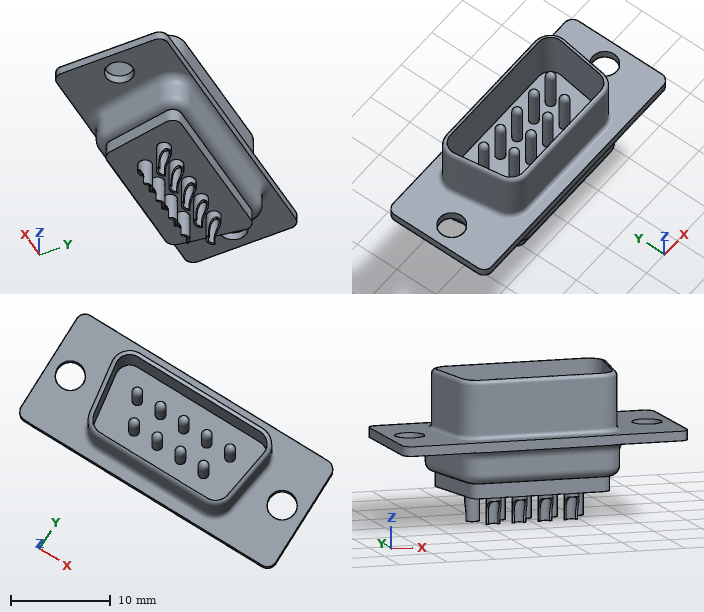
import cadquery as cq
import math

plate_length = 30.0
plate_width = 12.5
plate_thickness = 1.0
plate_corner_radius = 1.0
mount_hole_diameter = 3.0
mount_hole_offset = 12.48

shell_height = 6.0
shell_width = 9.5
shell_mid_half_length = 8.8
shell_slant = math.radians(8.5)
shell_wide_corner_radius = 1.98
shell_narrow_corner_radius = 2.1
shell_wall = 0.48
shell_edge_radius = 0.48

rear_height = 3.5
rear_width = 10.98
rear_mid_half_length = 9.03
rear_slant = math.radians(10)
rear_corner_radius = 2.0
rear_edge_radius = 1.0
rear_root_margin = rear_edge_radius

insulator_height = 1.53

contact_pitch = 2.73
row_offset = 1.4
contact_rows = ((5, row_offset, 1), (4, -row_offset, -1))
pin_radius = 0.55
pin_tip_height = 4.95

cup_length = 3.27
cup_radius = 0.75
cup_bore_radius = 0.55
cup_collar_length = 0.8
cup_lip_width = cup_radius - cup_bore_radius
cup_wall_cut_offset = 0.2
cup_scoop_radius = 2.58

plate_bottom = -plate_thickness
rear_bottom = plate_bottom - rear_height
insulator_bottom = rear_bottom - insulator_height
cup_bottom = insulator_bottom - cup_length


def d_prism(mid_half_length, width, slant, wide_radius, narrow_radius, bottom, height):
    """Prism with a rounded D outline whose wide side faces +Y."""
    half_width = width / 2
    slant_shift = half_width * math.tan(slant)
    wide_half = mid_half_length + slant_shift
    narrow_half = mid_half_length - slant_shift
    corners = [
        (-wide_half, half_width),
        (wide_half, half_width),
        (narrow_half, -half_width),
        (-narrow_half, -half_width),
    ]
    prism = cq.Workplane("XY", origin=(0, 0, bottom)).polyline(corners).close().extrude(height)
    prism = prism.faces(">Y").edges("|Z").fillet(wide_radius)
    return prism.faces("<Y").edges("|Z").fillet(narrow_radius)


def shell_prism(inset, bottom, height):
    """Front shell outline, moved inward by inset on all sides."""
    return d_prism(
        shell_mid_half_length - inset / math.cos(shell_slant),
        shell_width - 2 * inset,
        shell_slant,
        shell_wide_corner_radius - inset,
        shell_narrow_corner_radius - inset,
        bottom,
        height,
    )


def rear_prism(inset, bottom, height):
    """Rear shell outline, moved inward by inset on all sides."""
    corner_radius = rear_corner_radius - inset
    return d_prism(
        rear_mid_half_length - inset / math.cos(rear_slant),
        rear_width - 2 * inset,
        rear_slant,
        corner_radius,
        corner_radius,
        bottom,
        height,
    )


def fillet_matching(body, reference_edges, radius):
    """Fillet the edges of body that have the same centers as the reference edges."""
    tolerance = 0.003
    matches = []
    for edge in body.edges().vals():
        for reference in reference_edges:
            if (edge.Center() - reference.Center()).Length < tolerance:
                matches.append(edge)
    return body.newObject(matches).fillet(radius)


def make_flange_and_shells():
    """Plate with both shells and their blended roots, trimmed to the plate outline."""
    front_shell = shell_prism(0, 0, shell_height)
    rear_shell = rear_prism(0, rear_bottom, rear_height)

    body = (
        cq.Workplane("XY", origin=(0, 0, plate_bottom))
        .rect(plate_length, plate_width + 2 * rear_root_margin)
        .extrude(plate_thickness)
        .union(front_shell)
        .union(rear_shell)
    )

    front_root = front_shell.faces("<Z").edges().vals()
    rear_root = rear_shell.faces(">Z").edges().vals()
    body = fillet_matching(body, front_root, shell_edge_radius)
    body = fillet_matching(body, rear_root, rear_edge_radius)

    body = body.faces(">Z").edges().fillet(shell_edge_radius)
    body = body.faces("<Z").edges().fillet(rear_edge_radius)

    outline_height = shell_height - rear_bottom
    outline = (
        cq.Workplane("XY", origin=(0, 0, rear_bottom))
        .rect(plate_length, plate_width)
        .extrude(outline_height)
        .edges("|Z")
        .fillet(plate_corner_radius)
    )
    mount_holes = (
        cq.Workplane("XY", origin=(0, 0, plate_bottom))
        .pushPoints([(-mount_hole_offset, 0), (mount_hole_offset, 0)])
        .circle(mount_hole_diameter / 2)
        .extrude(plate_thickness)
    )
    cavity = shell_prism(shell_wall, 0, shell_height)
    return body.intersect(outline).cut(mount_holes).cut(cavity)


def make_contact(x, y, outward):
    """Round-tipped pin with a scooped solder cup that opens toward outward Y."""
    pin = (
        cq.Workplane("XY", origin=(x, y, rear_bottom))
        .circle(pin_radius)
        .extrude(pin_tip_height - pin_radius - rear_bottom)
    )
    tip = cq.Workplane("XY", origin=(x, y, pin_tip_height - pin_radius)).sphere(pin_radius)
    cup = (
        cq.Workplane("XY", origin=(x, y, cup_bottom))
        .circle(cup_radius)
        .circle(cup_bore_radius)
        .extrude(cup_length)
    )
    return pin.union(tip).union(cup.cut(make_scoop(x, y, outward)))


def make_scoop(x, y, outward):
    """Cutter that removes the outward half of a cup below its collar."""
    scoop_top = insulator_bottom - cup_collar_length
    wall_y = -cup_wall_cut_offset
    lip_y = cup_radius - cup_lip_width
    center_y = wall_y + cup_scoop_radius
    sweep = math.acos((center_y - lip_y) / cup_scoop_radius)
    center_z = scoop_top - cup_scoop_radius * math.sin(sweep)
    arc_middle = (
        center_y - cup_scoop_radius * math.cos(sweep / 2),
        center_z + cup_scoop_radius * math.sin(sweep / 2),
    )
    scoop = (
        cq.Workplane("YZ")
        .moveTo(cup_radius, cup_bottom)
        .lineTo(cup_radius, scoop_top)
        .lineTo(lip_y, scoop_top)
        .threePointArc(arc_middle, (wall_y, center_z))
        .lineTo(wall_y, cup_bottom)
        .close()
        .extrude(cup_radius, both=True)
    )
    if outward < 0:
        scoop = scoop.mirror("XZ")
    return scoop.translate((x, y, 0))


result = make_flange_and_shells()
result = result.union(rear_prism(rear_edge_radius, insulator_bottom, insulator_height))
for count, row_y, outward in contact_rows:
    for index in range(count):
        contact_x = (index - (count - 1) / 2) * contact_pitch
        result = result.union(make_contact(contact_x, row_y, outward))